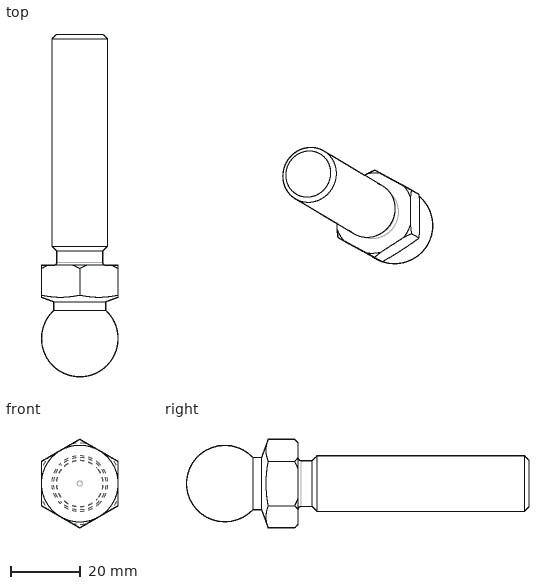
import cadquery as cq
import math


ball_radius = 11.0
tip_flat_radius = 0.75
neck_radius = 7.5

across_flats = 22.0
hex_front = 10.5
hex_back = 21.0
hex_sides = 6
front_cone_angle = 20.0
back_chamfer_radius = 11.7

groove_radius = 6.6
groove_fillet = 0.8
shank_radius = 8.0
shank_start = 26.4
end_chamfer = 1.3

overall_length = 98.03

tip_y = -math.sqrt(ball_radius**2 - tip_flat_radius**2)
neck_start = math.sqrt(ball_radius**2 - neck_radius**2)
shank_end = tip_y + overall_length
groove_end = shank_start - (shank_radius - groove_radius)

axis_start = (0, 0, 0)
axis_end = (0, 1, 0)


def make_ball_and_neck():
    """Ball with a small flat at its tip, joined to the neck that enters the hexagon."""
    profile = (
        cq.Workplane("XY")
        .moveTo(0, tip_y)
        .lineTo(tip_flat_radius, tip_y)
        .threePointArc((ball_radius, 0), (neck_radius, neck_start))
        .lineTo(neck_radius, hex_back)
        .lineTo(0, hex_back)
        .close()
    )
    return profile.revolve(360, axis_start, axis_end)


def make_hexagon():
    """Hexagon with corners on +Z and -Z, trimmed by a cone at each end."""
    corner_radius = across_flats / math.sqrt(3)
    cone_depth = (corner_radius - neck_radius) * math.tan(math.radians(front_cone_angle))
    back_depth = corner_radius - back_chamfer_radius
    corners = []
    for index in range(hex_sides):
        angle = math.radians(90 + index * 360 / hex_sides)
        corners.append((corner_radius * math.cos(angle), corner_radius * math.sin(angle)))
    prism = (
        cq.Workplane("XZ", origin=(0, hex_front, 0))
        .polyline(corners)
        .close()
        .extrude(hex_front - hex_back)
    )
    envelope = (
        cq.Workplane("XY")
        .moveTo(0, hex_front)
        .lineTo(neck_radius, hex_front)
        .lineTo(corner_radius, hex_front + cone_depth)
        .lineTo(corner_radius, hex_back - back_depth)
        .lineTo(back_chamfer_radius, hex_back)
        .lineTo(0, hex_back)
        .close()
        .revolve(360, axis_start, axis_end)
    )
    return prism.intersect(envelope)


def make_groove_and_shank():
    """Relief groove filleted into the hexagon, rising at 45 degrees to the chamfered shank."""
    profile = (
        cq.Workplane("XY")
        .moveTo(0, hex_back)
        .lineTo(groove_radius + groove_fillet, hex_back)
        .radiusArc((groove_radius, hex_back + groove_fillet), groove_fillet)
        .lineTo(groove_radius, groove_end)
        .lineTo(shank_radius, shank_start)
        .lineTo(shank_radius, shank_end - end_chamfer)
        .lineTo(shank_radius - end_chamfer, shank_end)
        .lineTo(0, shank_end)
        .close()
    )
    return profile.revolve(360, axis_start, axis_end)


result = make_ball_and_neck().union(make_hexagon()).union(make_groove_and_shank())